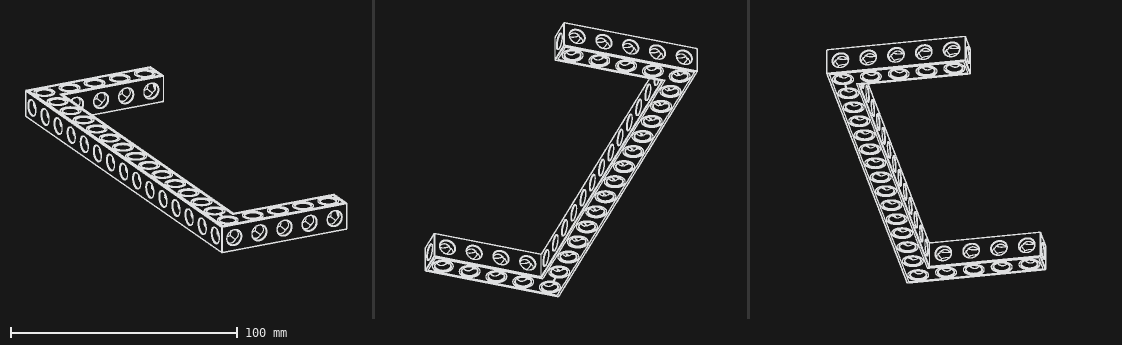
import cadquery as cq

LENGTH = 187.5
HOLES_LONG = 15
HOLES_ARM = 5
HOLE_DIAMETER = 7.0
HOLE_CHAMFER = 0.3
EDGE_CHAMFER = 0.3
RIM_WIDTH = 1.1
COLLAR_DIAMETER = 9.2
PANEL_DEPTH = 0.2
BRIDGE_WIDTH = 0.4

PITCH = LENGTH / HOLES_LONG
DEPTH = HOLES_ARM * PITCH
MID_HEIGHT = PITCH / 2
HOLE_RADIUS = HOLE_DIAMETER / 2

COLUMNS = [(i + 0.5) * PITCH for i in range(HOLES_LONG)]
ROWS = [(i + 0.5) * PITCH for i in range(HOLES_ARM)]
ARM_COLUMNS = (COLUMNS[0], COLUMNS[-1])
VERTICAL_CENTRES = [(x, ROWS[0]) for x in COLUMNS]
VERTICAL_CENTRES += [(x, y) for x in ARM_COLUMNS for y in ROWS[1:]]

ALONG_X = cq.Vector(1, 0, 0)
ALONG_Y = cq.Vector(0, 1, 0)
ALONG_Z = cq.Vector(0, 0, 1)


def u_prism(inset, bottom, height):
    """U-shaped prism, its outline pulled in by inset on every side."""
    left, right = inset, LENGTH - inset
    front, back = inset, DEPTH - inset
    inner_left, inner_right = PITCH - inset, LENGTH - PITCH + inset
    inner_front = PITCH - inset
    outline = [
        (left, front),
        (right, front),
        (right, back),
        (inner_right, back),
        (inner_right, inner_front),
        (inner_left, inner_front),
        (inner_left, back),
        (left, back),
    ]
    return cq.Workplane("XY").workplane(offset=bottom).polyline(outline).close().extrude(height)


def frame():
    """U-shaped body, bevelled on every edge except the two inner corners."""
    body = u_prism(0, 0, PITCH)
    inner_corners = cq.selectors.BoxSelector(
        (PITCH / 2, PITCH / 2, 0),
        (LENGTH - PITCH / 2, 1.5 * PITCH, PITCH),
    )
    outer_corners = body.edges("|Z").edges(cq.selectors.InverseSelector(inner_corners))
    face_edges = body.faces("|Z").edges()
    return body.newObject(outer_corners.vals() + face_edges.vals()).chamfer(EDGE_CHAMFER)


def panel_cutter():
    """Shallow recesses for both faces, leaving the rim, the collars and the bridge standing."""
    panels = u_prism(RIM_WIDTH, 0, PANEL_DEPTH)
    panels = panels.union(u_prism(RIM_WIDTH, PITCH - PANEL_DEPTH, PANEL_DEPTH))
    collars = cq.Workplane("XY").pushPoints(VERTICAL_CENTRES).circle(COLLAR_DIAMETER / 2).extrude(PITCH)
    bridge = (
        cq.Workplane("XY")
        .center((COLUMNS[-2] + COLUMNS[-1]) / 2, ROWS[0])
        .rect(PITCH, BRIDGE_WIDTH)
        .extrude(PITCH)
    )
    return panels.cut(collars).cut(bridge)


def hole_cutter(start, direction, length):
    """Through hole with a bevelled mouth at both ends."""
    mouth_radius = HOLE_RADIUS + HOLE_CHAMFER
    far_mouth = cq.Vector(*start) + direction * length
    bore = cq.Solid.makeCylinder(HOLE_RADIUS, length, cq.Vector(*start), direction)
    near_bevel = cq.Solid.makeCone(mouth_radius, HOLE_RADIUS, HOLE_CHAMFER, cq.Vector(*start), direction)
    far_bevel = cq.Solid.makeCone(mouth_radius, HOLE_RADIUS, HOLE_CHAMFER, far_mouth, direction * -1)
    return bore.fuse(near_bevel, far_bevel)


result = frame().cut(panel_cutter())

for x, y in VERTICAL_CENTRES:
    result = result.cut(hole_cutter((x, y, 0), ALONG_Z, PITCH))

for x in COLUMNS:
    hole_length = DEPTH if x in ARM_COLUMNS else PITCH
    result = result.cut(hole_cutter((x, 0, MID_HEIGHT), ALONG_Y, hole_length))

result = result.cut(hole_cutter((0, ROWS[0], MID_HEIGHT), ALONG_X, LENGTH))
for y in ROWS[1:]:
    for left in (0, LENGTH - PITCH):
        result = result.cut(hole_cutter((left, y, MID_HEIGHT), ALONG_X, PITCH))